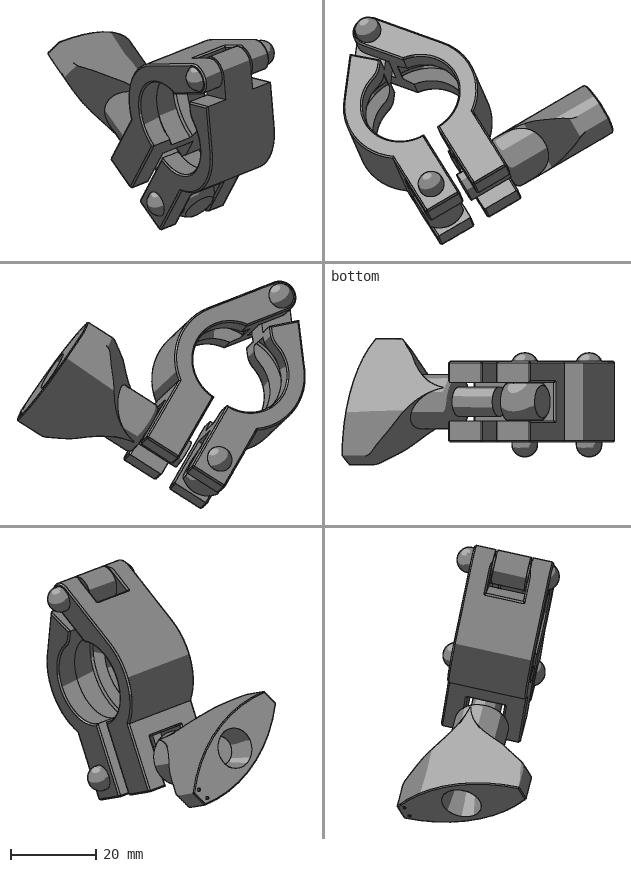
import cadquery as cq
import math

tilt = 28.7

clamp_width = 19.05
bore_radius = 9.95
ring_radius = 14.4
groove_radius = 13.15
groove_floor_width = 6.4
groove_mouth_width = 9.0
groove_bevel = 0.5
jaw_gap = 3.7
arm_thickness = 9.1
arm_length = 28.0
edge_chamfer = 0.4
arm_end_chamfer = 0.3
link_root_round = 5.1

hinge_height = 20.9
knuckle_radius = 3.7
knuckle_width = 7.95
hinge_slot_width = 9.0
hinge_slot_reach = 6.15
step_distance = 6.55
step_angle = 45.0
slot_chamfer = 0.45

pin_diameter = 4.5
head_diameter = 6.0
crown_height = 2.0
collar_height = 1.3
tip_taper = 0.05
tip_height = 2.2

screw_height = -22.6
arm_slot_width = 9.0
arm_slot_top = -15.8
eye_pin_offset = 4.75
eye_radius = 6.1
eye_width = 8.7
eye_face_offset = 4.0
eye_back_offset = 4.75

stud_diameter = 7.0
stud_overhang = 1.65
screw_head_length = 26.0
barrel_radius = 6.4
barrel_round = 1.3
barrel_start = 11.85
wing_half_span = 16.1
wing_tip_width = 4.15
wing_tip_length = 7.45
wing_flank = [(9.9, 13.2), (12.5, 10.4), (14.95, 7.05), (18.1, 3.6), (24.9, 0.05)]
wing_turn = 31.0
tip_round = 2.45
wing_edge = 0.25
socket_diameter = 9.5
socket_floor_diameter = 7.0
socket_depth = 6.7
dimple_diameter = 0.8
dimple_depth = 0.3
dimple_span = 14.35
dimple_spacing = 2.95

ring_center = -jaw_gap / 2
arm_outer = ring_center - arm_thickness
extra = 0.65


def polar(center, radius, angle):
    return (center[0] + radius * math.cos(angle), center[1] + radius * math.sin(angle))


ring_point = (ring_center, 0)
hinge_point = (0, hinge_height)
eye_point = (jaw_gap / 2 + eye_pin_offset, screw_height)
hinge_direction = math.atan2(hinge_height, -ring_center)
hinge_distance = math.hypot(ring_center, hinge_height)
link_direction = hinge_direction - math.asin((ring_radius - knuckle_radius) / hinge_distance)
link_normal = link_direction + math.pi / 2

bore_exit_angle = link_direction + math.asin((ring_radius - 2 * knuckle_radius) / bore_radius)
bore_exit = polar(ring_point, bore_radius, bore_exit_angle)


def half_outline():
    """Side outline of a clamp half on the left side: arm, half ring and hinge link."""
    shoulder = -math.sqrt(ring_radius**2 - arm_thickness**2)
    ring_tangent = polar(ring_point, ring_radius, link_normal)
    return (
        cq.Workplane("XZ")
        .moveTo(ring_center, -bore_radius)
        .lineTo(ring_center, -arm_length)
        .lineTo(arm_outer, -arm_length)
        .lineTo(arm_outer, shoulder)
        .threePointArc(polar(ring_point, ring_radius, math.pi), ring_tangent)
        .lineTo(*polar(hinge_point, knuckle_radius, link_normal))
        .threePointArc(
            polar(hinge_point, knuckle_radius, link_direction),
            polar(hinge_point, knuckle_radius, link_normal - math.pi),
        )
        .lineTo(*bore_exit)
        .threePointArc(polar(ring_point, bore_radius, math.pi), (ring_center, -bore_radius))
        .close()
    )


def half_blank(root_round=0):
    """Plain clamp half on the left side, optionally rounded where the bore meets the link."""
    blank = half_outline().extrude(clamp_width / 2, both=True)
    blank = blank.edges("|Y").edges("<Z").chamfer(arm_end_chamfer)
    if root_round:
        root = cq.selectors.NearestToPointSelector((bore_exit[0], 0, bore_exit[1]))
        blank = blank.edges(root).fillet(root_round)
    return blank


def bore_groove():
    """Trapezoidal groove around the bore, limited to the left half."""
    mouth = groove_mouth_width / 2
    floor = groove_floor_width / 2
    groove = (
        cq.Workplane("XY")
        .moveTo(0, -mouth)
        .lineTo(bore_radius, -mouth)
        .lineTo(groove_radius - groove_bevel, -floor)
        .lineTo(groove_radius, groove_bevel - floor)
        .lineTo(groove_radius, floor - groove_bevel)
        .lineTo(groove_radius - groove_bevel, floor)
        .lineTo(bore_radius, mouth)
        .lineTo(0, mouth)
        .close()
        .revolve(360, (0, 0, 0), (0, 1, 0))
        .translate((ring_center, 0, 0))
    )
    side = 4 * ring_radius
    left_side = cq.Workplane("XY").box(side, side, side).translate((ring_center - side / 2, 0, 0))
    return groove.intersect(left_side)


def finished(half):
    """Chamfer the side outlines, then cut the fork slot of the arm and the bore groove."""
    half = half.faces("<Y or >Y").edges().chamfer(edge_chamfer)
    return half.cut(arm_slot()).cut(bore_groove())


def arm_slot():
    """Fork slot that opens at the foot of a left arm, flared at the arm's outer face."""
    slot_height = arm_slot_top + arm_length + extra
    slot = cq.Workplane("XY").box(4 * arm_thickness, arm_slot_width, slot_height)
    flare = (
        cq.Workplane("YZ", (arm_outer + slot_chamfer, 0, 0))
        .rect(arm_slot_width, slot_height)
        .extrude(-2 * slot_chamfer, taper=-45)
    )
    return slot.union(flare).translate((0, 0, arm_slot_top - slot_height / 2))


def fork_half():
    """Left half, whose link is forked around the knuckle."""
    slot_length = hinge_slot_reach + 3 * knuckle_radius
    flare = (
        cq.Workplane("XY", (0, 0, knuckle_radius - slot_chamfer))
        .rect(slot_length, hinge_slot_width)
        .extrude(2 * slot_chamfer, taper=-45)
    )
    slot = (
        cq.Workplane("XY")
        .box(slot_length, hinge_slot_width, 4 * knuckle_radius)
        .union(flare)
        .translate((slot_length / 2 - hinge_slot_reach, 0, 0))
        .rotate((0, 0, 0), (0, 1, 0), -math.degrees(link_direction))
        .translate((0, 0, hinge_height))
    )
    return finished(half_blank()).cut(slot)


def knuckle_half():
    """Right half, narrowed to a knuckle above a sloping step; shaped on the left, then mirrored."""
    half = half_blank(link_root_round)
    cheek_side = 6 * knuckle_radius
    cheek_width = (clamp_width - knuckle_width) / 2 + extra
    for way in (-1, 1):
        cheek = (
            cq.Workplane("XY")
            .box(cheek_side, cheek_width, cheek_side)
            .translate((0, way * (knuckle_width + cheek_width) / 2, cheek_side / 2 - step_distance))
            .rotate((0, 0, 0), (0, 1, 0), step_angle)
            .translate((0, 0, hinge_height))
        )
        half = half.cut(cheek)
    return finished(half).mirror("YZ")


def dome_middle(base, start, height):
    """Point halfway along a dome's arc between its rim and its pole."""
    rise = abs(height)
    radius = (base**2 + rise**2) / (2 * rise)
    half_angle = math.asin(base / radius) / 2
    middle_rise = rise - radius * (1 - math.cos(half_angle))
    return (radius * math.sin(half_angle), start + math.copysign(middle_rise, height))


def rivet(x, z):
    """Pin along Y with a domed crown at -Y and a collared round tip at +Y."""
    reach = clamp_width / 2
    head_radius = head_diameter / 2
    tip_radius = head_radius - tip_taper
    tip_start = reach + collar_height
    profile = (
        cq.Workplane("XY")
        .moveTo(0, -reach - crown_height)
        .threePointArc(dome_middle(head_radius, -reach, -crown_height), (head_radius, -reach))
        .lineTo(pin_diameter / 2, -reach)
        .lineTo(pin_diameter / 2, reach)
        .lineTo(head_radius, reach)
        .lineTo(head_radius, reach + collar_height / 2)
        .lineTo(tip_radius, tip_start)
        .threePointArc(dome_middle(tip_radius, tip_start, tip_height), (0, tip_start + tip_height))
        .close()
    )
    return profile.revolve(360, (0, 0, 0), (0, 1, 0)).translate((x, 0, z))


def eye():
    """Ball on the lower rivet, with flat sides and flats toward and away from the screw."""
    depth = eye_face_offset + eye_back_offset
    slab = cq.Workplane("XY").box(depth, eye_width, 3 * eye_radius)
    slab = slab.translate(((eye_back_offset - eye_face_offset) / 2, 0, 0))
    ball = cq.Workplane("XY").sphere(eye_radius).intersect(slab)
    return ball.translate((eye_point[0], 0, eye_point[1]))


def make_clamp():
    """Both halves, joined by the hinge rivet, with the eye and its rivet in the right arm."""
    clamp = fork_half().union(knuckle_half()).union(eye())
    for x, z in (hinge_point, eye_point):
        clamp = clamp.union(rivet(x, z))
    return clamp


def wing():
    """Lens-shaped wing, long along Y, tapering along X to the end of the barrel."""
    half_tip = wing_tip_width / 2
    lens = (
        cq.Workplane("YZ")
        .moveTo(-wing_half_span, -half_tip)
        .threePointArc((0, -barrel_radius), (wing_half_span, -half_tip))
        .lineTo(wing_half_span, half_tip)
        .threePointArc((0, barrel_radius), (-wing_half_span, half_tip))
        .close()
        .extrude(screw_head_length)
        .edges("|X")
        .fillet(wing_edge)
    )
    flank = [(wing_tip_length, wing_half_span)] + wing_flank
    near_tip = wing_half_span + extra
    tip_corners = cq.selectors.BoxSelector(
        (wing_tip_length - extra, -near_tip, -near_tip),
        (wing_tip_length + extra, near_tip, near_tip),
    )
    mirrored = [(x, -y) for x, y in reversed(flank)]
    taper = (
        cq.Workplane("XY", (0, 0, -barrel_radius - extra))
        .moveTo(0, -wing_half_span)
        .lineTo(0, wing_half_span)
        .lineTo(*flank[0])
        .spline(flank[1:], includeCurrent=True)
        .lineTo(*mirrored[0])
        .spline(mirrored[1:], includeCurrent=True)
        .close()
        .extrude(2 * (barrel_radius + extra))
        .edges(tip_corners)
        .fillet(tip_round)
    )
    return lens.intersect(taper)


def make_screw():
    """Wing, barrel and stud as one screw along X, with the barrel end against the left arm."""
    round_start = screw_head_length - barrel_round
    stud_length = barrel_round + arm_thickness + stud_overhang
    barrel = cq.Workplane("YZ", (barrel_start, 0, 0)).circle(barrel_radius)
    barrel = barrel.extrude(screw_head_length - barrel_start).faces(">X").edges().fillet(barrel_round)
    stud = cq.Workplane("YZ", (round_start, 0, 0)).circle(stud_diameter / 2).extrude(stud_length)
    clearance = cq.Workplane("YZ", (round_start, 0, 0)).circle(2 * barrel_radius).extrude(stud_length)
    screw = wing().cut(clearance)
    screw = screw.faces("<X").edges().chamfer(wing_edge)
    screw = screw.union(barrel).union(stud)

    socket = cq.Workplane("YZ").circle(socket_diameter / 2).workplane(offset=socket_depth)
    screw = screw.cut(socket.circle(socket_floor_diameter / 2).loft())
    dimples = (
        cq.Workplane("YZ")
        .pushPoints([(dimple_span, way * dimple_spacing / 2) for way in (-1, 1)])
        .circle(dimple_diameter / 2)
        .extrude(dimple_depth)
    )
    screw = screw.cut(dimples).rotate((0, 0, 0), (1, 0, 0), -wing_turn)
    return screw.translate((arm_outer - screw_head_length, 0, screw_height))


def tilted(body):
    return body.rotate((0, 0, 0), (0, 1, 0), tilt)


clamp = tilted(make_clamp())
screw = tilted(make_screw())
result = cq.Compound.makeCompound([clamp.val(), screw.val()])